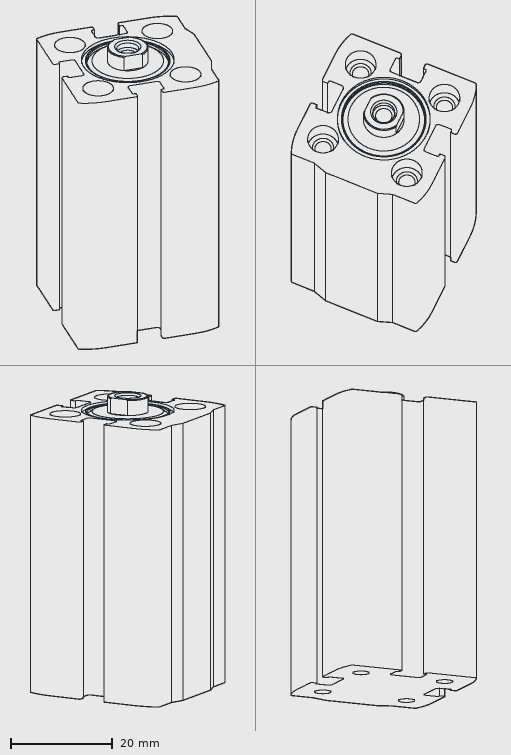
import cadquery as cq

TOTAL_HEIGHT = 58.5
ROD_PROTRUSION = 2.9
HOUSING_HEIGHT = TOTAL_HEIGHT - ROD_PROTRUSION

HOUSING_WIDTH = 29.0
HALF_WIDTH = HOUSING_WIDTH / 2
OVERALL_DEPTH = 30.0
RIDGE_RISE = OVERALL_DEPTH - HOUSING_WIDTH
RIDGE_TOP_HALF_WIDTH = 5.55
RIDGE_BASE_HALF_WIDTH = 8.4
SIDE_FLAT_HALF_LENGTH = 9.2
SIDE_CURVE_RADIUS = 13.45
CORNER_FILLET = 0.45

SLOT_MOUTH_WIDTH = 5.15
SLOT_WIDTH = 6.55
SLOT_LIP_THICKNESS = 1.3
SLOT_DEPTH = 4.55
SLOT_FLOOR_FILLET = 0.6
SLOT_SHOULDER_FILLET = 0.3
SLOT_LIP_FILLET = 0.4
SLOT_DIRECTIONS = (180, 270, 0)

MOUNT_SPACING = 18.0
MOUNT_HOLE_DIAMETER = 3.2
MOUNT_CONE_DIAMETER = 4.15
MOUNT_COUNTERBORE_DIAMETER = 6.0
MOUNT_COUNTERBORE_DEPTH = 3.7

RECESS_RADIUS = 18.2 / 2
RECESS_DROP = 0.7
CREST_OUTER_RADIUS = 8.3
CREST_INNER_RADIUS = 8.2
CREST_DROP = 0.25
VALLEY_RADIUS = 16.0 / 2
VALLEY_CHAMFER = CREST_INNER_RADIUS - VALLEY_RADIUS
VALLEY_DROP = 0.95
COVER_EDGE_RADIUS = 7.25
COVER_EDGE_DROP = 0.35
COVER_RADIUS = 7.0
COVER_DROP = 0.25

ROD_DIAMETER = 8.0
ROD_LENGTH = 35.1
ROD_CHAMFER = 0.2
ROD_FLATS_WIDTH = 7.0
ROD_FLATS_LENGTH = ROD_PROTRUSION + COVER_DROP
ROD_HOLE_MOUTH_RADIUS = 2.6
ROD_HOLE_RADIUS = 4.3 / 2
ROD_HOLE_STEP_DEPTH = 1.4
ROD_HOLE_STEP_CONE = 0.3
ROD_DRILL_RADIUS = 3.2 / 2
ROD_DRILL_DEPTH = 9.35
ROD_DRILL_TIP = 0.95


def side_end_x():
    """X where the curved side flank meets the level of the front and back faces."""
    rise = HALF_WIDTH - SIDE_FLAT_HALF_LENGTH
    return HALF_WIDTH - SIDE_CURVE_RADIUS + (SIDE_CURVE_RADIUS**2 - rise**2) ** 0.5


def housing_blank():
    """Squarish extrusion with bowed flanks and a low ridge along its back."""
    corner_x = side_end_x()
    flank = SIDE_FLAT_HALF_LENGTH
    blank = (
        cq.Workplane("XY")
        .moveTo(-corner_x, -HALF_WIDTH)
        .lineTo(corner_x, -HALF_WIDTH)
        .radiusArc((HALF_WIDTH, -flank), -SIDE_CURVE_RADIUS)
        .lineTo(HALF_WIDTH, flank)
        .radiusArc((corner_x, HALF_WIDTH), -SIDE_CURVE_RADIUS)
        .lineTo(RIDGE_BASE_HALF_WIDTH, HALF_WIDTH)
        .lineTo(RIDGE_TOP_HALF_WIDTH, HALF_WIDTH + RIDGE_RISE)
        .lineTo(-RIDGE_TOP_HALF_WIDTH, HALF_WIDTH + RIDGE_RISE)
        .lineTo(-RIDGE_BASE_HALF_WIDTH, HALF_WIDTH)
        .lineTo(-corner_x, HALF_WIDTH)
        .radiusArc((-HALF_WIDTH, flank), -SIDE_CURVE_RADIUS)
        .lineTo(-HALF_WIDTH, -flank)
        .radiusArc((-corner_x, -HALF_WIDTH), -SIDE_CURVE_RADIUS)
        .close()
        .extrude(HOUSING_HEIGHT)
    )
    for x in (-corner_x, corner_x):
        for y in (-HALF_WIDTH, HALF_WIDTH):
            corner = cq.selectors.NearestToPointSelector((x, y, HOUSING_HEIGHT / 2))
            blank = blank.edges(corner).fillet(CORNER_FILLET)
    return blank


def slot_cutter(direction):
    """T-slot entering from the +X side, turned about Z to the given direction."""
    floor_x = HALF_WIDTH - SLOT_DEPTH
    lip_x = HALF_WIDTH - SLOT_LIP_THICKNESS
    half_mouth = SLOT_MOUTH_WIDTH / 2
    chamber = (
        cq.Workplane("XY")
        .center((floor_x + lip_x) / 2, 0)
        .rect(lip_x - floor_x, SLOT_WIDTH)
        .extrude(HOUSING_HEIGHT)
        .edges("|Z and <X")
        .fillet(SLOT_FLOOR_FILLET)
        .edges("|Z and >X")
        .fillet(SLOT_SHOULDER_FILLET)
    )
    mouth = (
        cq.Workplane("XY")
        .moveTo(floor_x, -half_mouth)
        .lineTo(HALF_WIDTH - SLOT_LIP_FILLET, -half_mouth)
        .radiusArc((HALF_WIDTH, -half_mouth - SLOT_LIP_FILLET), SLOT_LIP_FILLET)
        .lineTo(HALF_WIDTH, half_mouth + SLOT_LIP_FILLET)
        .radiusArc((HALF_WIDTH - SLOT_LIP_FILLET, half_mouth), SLOT_LIP_FILLET)
        .lineTo(floor_x, half_mouth)
        .close()
        .extrude(HOUSING_HEIGHT)
    )
    return chamber.union(mouth).rotate((0, 0, 0), (0, 0, 1), direction)


def revolved(profile):
    """Solid of revolution about Z from (radius, height) points."""
    return cq.Workplane("XZ").polyline(profile).close().revolve(360, (0, 0, 0), (0, 1, 0))


def mount_hole_cutter():
    """Counterbored through hole with a cone below the counterbore floor, on the Z axis."""
    hole_radius = MOUNT_HOLE_DIAMETER / 2
    cone_radius = MOUNT_CONE_DIAMETER / 2
    counterbore_radius = MOUNT_COUNTERBORE_DIAMETER / 2
    floor_z = HOUSING_HEIGHT - MOUNT_COUNTERBORE_DEPTH
    cone_height = cone_radius - hole_radius
    return revolved(
        [
            (0, 0),
            (hole_radius, 0),
            (hole_radius, floor_z - cone_height),
            (cone_radius, floor_z),
            (counterbore_radius, floor_z),
            (counterbore_radius, HOUSING_HEIGHT),
            (0, HOUSING_HEIGHT),
        ]
    )


def top_recess_cutter():
    """Recess whose floor forms two conical rings around the flat cover face."""
    top = HOUSING_HEIGHT
    return revolved(
        [
            (0, top),
            (RECESS_RADIUS, top),
            (RECESS_RADIUS, top - RECESS_DROP),
            (CREST_OUTER_RADIUS, top - CREST_DROP),
            (CREST_INNER_RADIUS, top - CREST_DROP),
            (VALLEY_RADIUS, top - CREST_DROP - VALLEY_CHAMFER),
            (VALLEY_RADIUS, top - VALLEY_DROP),
            (COVER_EDGE_RADIUS, top - COVER_EDGE_DROP),
            (COVER_RADIUS, top - COVER_DROP),
            (0, top - COVER_DROP),
        ]
    )


def rod_cylinder():
    """Plain round rod, also the shape of the bore it sits in."""
    bottom = TOTAL_HEIGHT - ROD_LENGTH
    return cq.Workplane("XY").workplane(offset=bottom).circle(ROD_DIAMETER / 2).extrude(ROD_LENGTH)


def make_housing():
    housing = housing_blank()
    for direction in SLOT_DIRECTIONS:
        housing = housing.cut(slot_cutter(direction))
    half_spacing = MOUNT_SPACING / 2
    for x in (-half_spacing, half_spacing):
        for y in (-half_spacing, half_spacing):
            housing = housing.cut(mount_hole_cutter().translate((x, y, 0)))
    return housing.cut(top_recess_cutter()).cut(rod_cylinder())


def rod_hole_cutter():
    """Chamfered bore stepping down to a drilled hole with a conical tip."""
    top = TOTAL_HEIGHT
    mouth_chamfer = ROD_HOLE_MOUTH_RADIUS - ROD_HOLE_RADIUS
    return revolved(
        [
            (0, top),
            (ROD_HOLE_MOUTH_RADIUS, top),
            (ROD_HOLE_RADIUS, top - mouth_chamfer),
            (ROD_HOLE_RADIUS, top - ROD_HOLE_STEP_DEPTH),
            (ROD_DRILL_RADIUS, top - ROD_HOLE_STEP_DEPTH - ROD_HOLE_STEP_CONE),
            (ROD_DRILL_RADIUS, top - ROD_DRILL_DEPTH),
            (0, top - ROD_DRILL_DEPTH - ROD_DRILL_TIP),
        ]
    )


def rod_flats_cutter():
    """Pair of blocks that leave two wrench flats facing -X and +X."""
    block_width = ROD_DIAMETER
    block_offset = (ROD_FLATS_WIDTH + block_width) / 2
    return (
        cq.Workplane("XY")
        .workplane(offset=TOTAL_HEIGHT - ROD_FLATS_LENGTH)
        .pushPoints([(-block_offset, 0), (block_offset, 0)])
        .rect(block_width, ROD_DIAMETER)
        .extrude(ROD_FLATS_LENGTH)
    )


def make_rod():
    rod = rod_cylinder().faces(">Z").chamfer(ROD_CHAMFER)
    return rod.cut(rod_flats_cutter()).cut(rod_hole_cutter())


housing = make_housing()
rod = make_rod()
result = cq.Compound.makeCompound([housing.val(), rod.val()])